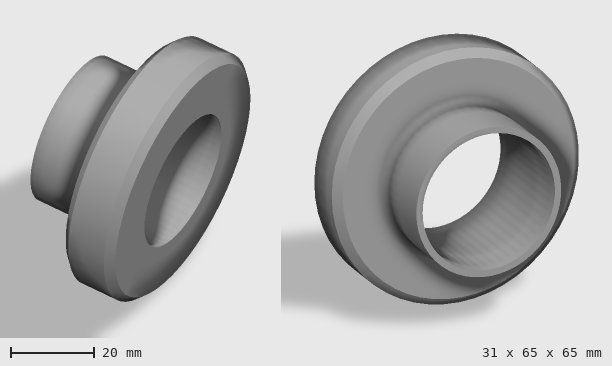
import cadquery as cq

total_length = 31.0
flange_diameter = 65.0
flange_thickness = 14.0
tube_diameter = 38.1
bore_diameter = 34.8
edge_size = 2.0

tube_length = total_length - flange_thickness

tube = cq.Workplane("YZ").circle(tube_diameter / 2).extrude(total_length)

flange = (
    cq.Workplane("YZ", origin=(tube_length, 0, 0))
    .circle(flange_diameter / 2)
    .extrude(flange_thickness)
    .edges()
    .chamfer(edge_size)
)

root_edge = cq.selectors.RadiusNthSelector(0)
body = tube.union(flange)
body = body.faces("<X[1]").edges(root_edge).fillet(edge_size)

bore = cq.Workplane("YZ").circle(bore_diameter / 2).extrude(total_length)
result = body.cut(bore)